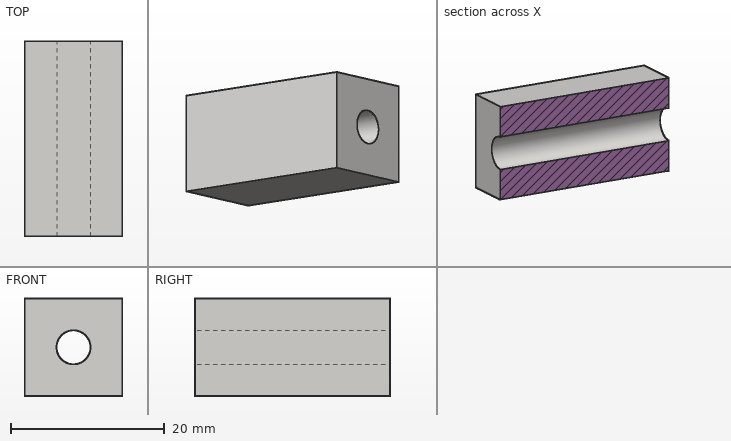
import cadquery as cq

side = 12.7
length = 2 * side
bore_diameter = 4.394


def square_bar():
    """Solid bar centred on the origin."""
    return cq.Workplane("XY").box(side, length, side)


def bore():
    """Cylinder along Y that spans the full length of the bar."""
    return cq.Workplane("XZ").circle(bore_diameter / 2).extrude(length / 2, both=True)


result = square_bar().cut(bore())